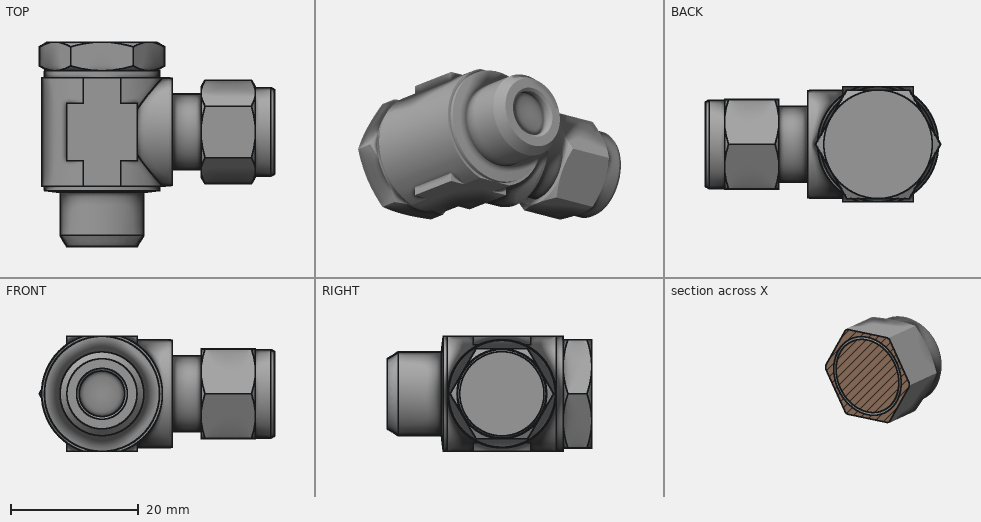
import cadquery as cq
import math


overall_length = 36.8

barrel_radius = 9.45
barrel_half_length = 8.5
thickness_across_flats = 18.0
flat_height = thickness_across_flats / 2
pad_length_x = 11.05
pad_length_y = 9.0

washer_radius = flat_height
bolt_head_flats = 16.97
bolt_head_corner_radius = bolt_head_flats / math.sqrt(3)
bolt_head_bottom = 9.57
bolt_head_top = 14.05
bolt_washer_end = -9.15
shank_start = -9.45
shank_radius = 6.55
shank_tip_radius = 5.5
shank_chamfer_start = -16.2
shank_tip = -17.93
bore_radius = 3.57
bore_mouth_radius = 3.98
bore_countersink_depth = 0.4
bore_depth = 1.73

boss_radius = 8.45
boss_end = 11.0
boss_edge_length = 0.55
boss_edge_drop = 0.1
neck_radius = 5.95
nut_flats = 14.02
nut_start = 15.5
nut_end = 24.0
nut_gap_radius = 6.33
nut_gap_depth = 1.1
sleeve_radius = 6.92
sleeve_chamfer = 0.6
sleeve_end = overall_length - bolt_head_corner_radius
sleeve_tip_radius = 6.6

hex_chamfer_angle = math.radians(30)


def revolve_along_x(profile):
    """Revolve a (position, radius) outline about the X axis."""
    return cq.Workplane("XY").polyline(profile).close().revolve(360, (0, 0), (1, 0))


def revolve_along_y(profile):
    """Revolve a (position, radius) outline about the Y axis."""
    swapped = [(radius, position) for position, radius in profile]
    return cq.Workplane("XY").polyline(swapped).close().revolve(360, (0, 0), (0, 1))


def hex_chamfer_profile(start, end, flats):
    """Outline of the round blank that bevels the corners at both ends of a hexagon."""
    end_radius = flats / 2
    corner_radius = end_radius / math.cos(math.pi / 6)
    bevel = (corner_radius - end_radius) * math.tan(hex_chamfer_angle)
    return [
        (start, 0),
        (start, end_radius),
        (start + bevel, corner_radius),
        (end - bevel, corner_radius),
        (end, end_radius),
        (end, 0),
    ]


def corner_diameter(flats):
    return flats / math.cos(math.pi / 6)


def make_barrel():
    """Cylinder trimmed to the flat height, plus the raised pads at the sides of the flats."""
    cylinder = cq.Workplane("XZ").circle(barrel_radius).extrude(barrel_half_length, both=True)
    trim = cq.Workplane("XY").box(2 * barrel_radius, 2 * barrel_half_length, 2 * flat_height)
    pads = cq.Workplane("XY").box(pad_length_x, pad_length_y, 2 * flat_height)
    return cylinder.intersect(trim).union(pads)


def make_bolt():
    """Washers and stepped shank, with a beveled hexagonal head."""
    shank = revolve_along_y([
        (bolt_head_bottom, 0),
        (bolt_head_bottom, washer_radius),
        (bolt_washer_end, washer_radius),
        (shank_start, shank_radius),
        (shank_chamfer_start, shank_radius),
        (shank_tip, shank_tip_radius),
        (shank_tip, 0),
    ])
    head_blank = revolve_along_y(
        hex_chamfer_profile(bolt_head_bottom, bolt_head_top, bolt_head_flats)
    )
    head_prism = (
        cq.Workplane("XZ", origin=(0, bolt_head_top, 0))
        .polygon(6, corner_diameter(bolt_head_flats))
        .extrude(bolt_head_top - bolt_head_bottom)
    )
    return shank.union(head_prism.intersect(head_blank))


def make_bore():
    """Shallow blind bore with a countersunk mouth in the shank tip."""
    return revolve_along_y([
        (shank_tip, 0),
        (shank_tip, bore_mouth_radius),
        (shank_tip + bore_countersink_depth, bore_radius),
        (shank_tip + bore_depth, bore_radius),
        (shank_tip + bore_depth, 0),
    ])


def make_branch():
    """Boss, neck and sleeve as one turned shape, with a beveled hexagonal nut."""
    turned = revolve_along_x([
        (0, 0),
        (0, boss_radius),
        (boss_end - boss_edge_length, boss_radius),
        (boss_end, boss_radius - boss_edge_drop),
        (boss_end, neck_radius),
        (nut_start + nut_gap_depth, neck_radius),
        (nut_end, sleeve_radius),
        (sleeve_end - sleeve_chamfer, sleeve_radius),
        (sleeve_end, sleeve_tip_radius),
        (sleeve_end, 0),
    ])
    nut_blank = revolve_along_x(hex_chamfer_profile(nut_start, nut_end, nut_flats))
    nut_prism = (
        cq.Workplane("YZ", origin=(nut_start, 0, 0))
        .polygon(6, corner_diameter(nut_flats))
        .extrude(nut_end - nut_start)
    )
    neck_gap = (
        cq.Workplane("YZ", origin=(nut_start, 0, 0))
        .circle(nut_gap_radius)
        .extrude(nut_gap_depth)
    )
    nut = nut_prism.intersect(nut_blank).cut(neck_gap)
    return turned.union(nut)


result = make_barrel().union(make_bolt()).union(make_branch()).cut(make_bore())